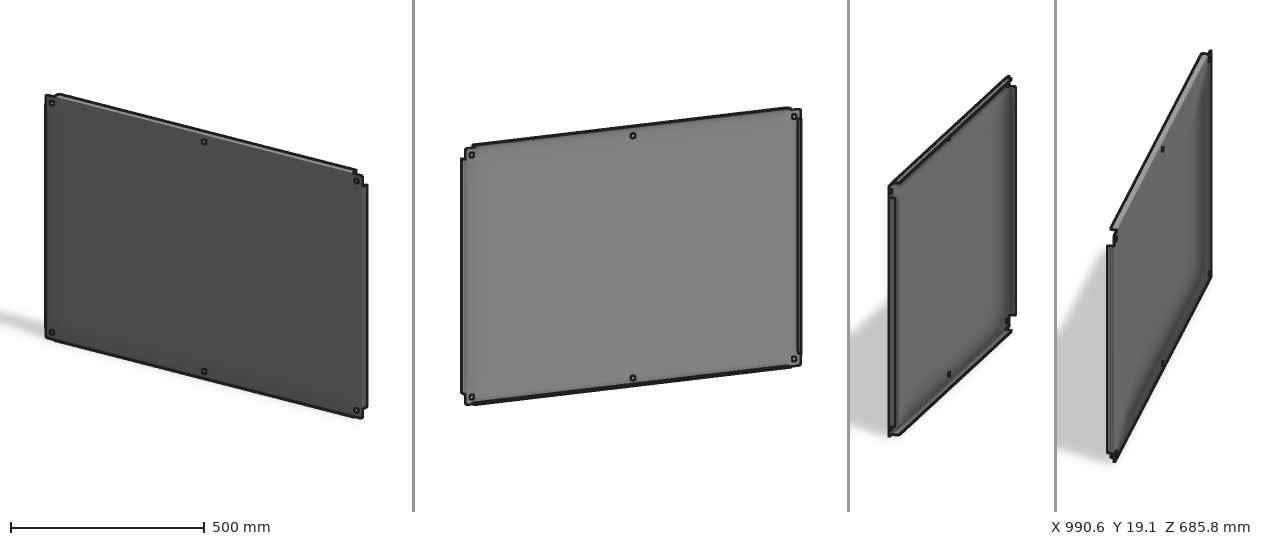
import cadquery as cq
import math

width = 990.6
depth = 19.05
height = 685.8

sheet = 2.35
inner_radius = 0.79
outer_radius = inner_radius + sheet

flange_setback = 31.75
flange_corner_radius = 6.35

face_corner_radius = 6.35

hole_diameter = 12.7
hole_inset = 22.225


def flat_face():
    """Front plate, ending where the bends begin, with its outer face at Y = 0."""
    face_width = width - 2 * outer_radius
    face_height = height - 2 * outer_radius
    plate = cq.Workplane("XY").box(face_width, sheet, face_height).translate((0, sheet / 2, 0))
    return plate.edges("|Y").fillet(face_corner_radius)


def flange(length, reach):
    """Bend and flange running along X, with its outer surface at Z = reach."""
    bend_start = reach - outer_radius
    diagonal = math.sqrt(0.5)
    outer_mid = (outer_radius * (1 - diagonal), bend_start + outer_radius * diagonal)
    inner_mid = (outer_radius - inner_radius * diagonal, bend_start + inner_radius * diagonal)
    folded = (
        cq.Workplane("YZ")
        .moveTo(0, bend_start)
        .threePointArc(outer_mid, (outer_radius, reach))
        .lineTo(depth, reach)
        .lineTo(depth, reach - sheet)
        .lineTo(outer_radius, reach - sheet)
        .threePointArc(inner_mid, (sheet, bend_start))
        .close()
        .extrude(length / 2, both=True)
    )
    return folded.faces(">Y").edges("|Z").fillet(flange_corner_radius)


def mounting_holes():
    """Cutters for the holes at both ends and the middle of the long edges."""
    hole_x = width / 2 - hole_inset
    hole_z = height / 2 - hole_inset
    centres = [(x, z) for x in (-hole_x, 0, hole_x) for z in (-hole_z, hole_z)]
    cutters = cq.Workplane("XZ").pushPoints(centres).circle(hole_diameter / 2)
    return cutters.extrude(-sheet)


long_flange = flange(width - 2 * flange_setback, height / 2)
short_flange = flange(height - 2 * flange_setback, width / 2)

pan = flat_face()
for folded_edge, first_angle in ((long_flange, 0), (short_flange, 90)):
    for angle in (first_angle, first_angle + 180):
        pan = pan.union(folded_edge.rotate((0, 0, 0), (0, 1, 0), angle))

result = pan.cut(mounting_holes())